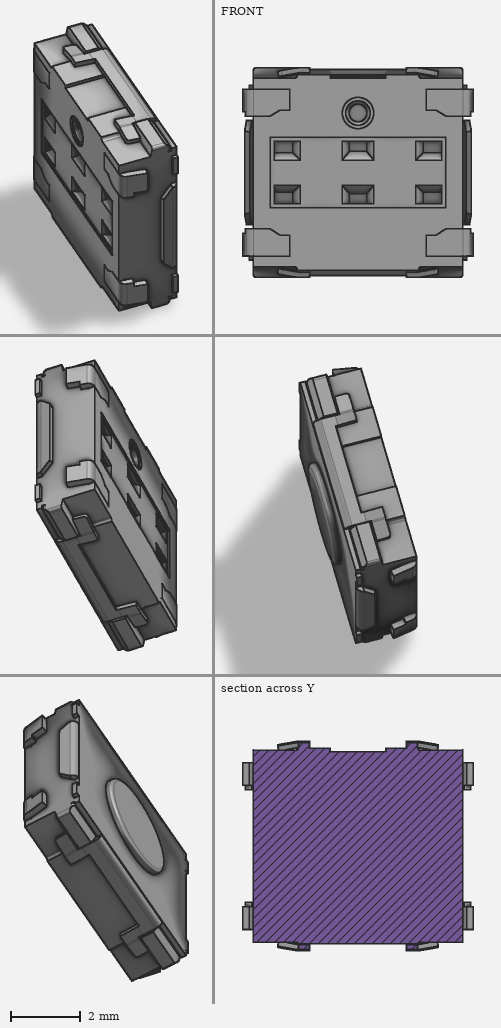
import cadquery as cq
import math


reach_x = 3.3
half_side = 3.0
button_face_y = 2.0
back_y = 1.8

cover_sheet = 0.15
cover_inner_y = back_y - cover_sheet
bend_inner_radius = 0.09
bend_outer_radius = bend_inner_radius + cover_sheet
lean_angle = 10.0
lean_sin = math.sin(math.radians(lean_angle))
lean_cos = math.cos(math.radians(lean_angle))

core_half_z = 2.7
middle_half_x = 1.735
middle_half_z = 2.8
middle_step = middle_half_z - core_half_z
keyway_half_x = 0.8

shoulder_top_y = 1.63
shoulder_root_y = 0.99
shoulder_undercut = 0.06
shoulder_chamfer = 0.18
shoulder_corner_radius = 0.1
shoulder_top_radius = 0.09

wall_half_x = 1.7
wall_outer_z = middle_half_z + cover_sheet
wall_root_z = wall_outer_z - 2 * cover_sheet
wall_edge_y = 1.19
tab_root_y = 1.12
tab_inner_x = 1.385
tab_end_y = 0.555
tab_tilt = 5.0
hook_bend_x = 1.7
hook_bend_radius = 0.285
hook_tip_x = 2.3
hook_top_y = 0.98
hook_corner_radius = 0.1

flap_half_z = 1.49
flap_bend_x = 2.95
flap_end_y = 1.295
ear_outer_x = 3.115
ear_low_z = 1.9
ear_high_z = 2.5

button_radius = 1.5
button_edge_radius = 0.1

panel_half_x = 2.51
panel_half_z = 1.0
panel_depth = 0.05
pocket_floor_y = 0.4
pocket_low_z = 0.355
pocket_high_z = 0.89
side_pocket_inner_x = 1.65
side_pocket_outer_x = 2.395
side_pocket_draft_x = 0.22
side_pocket_draft_z = 0.21
middle_pocket_half_x = 0.455
middle_pocket_draft_x = 0.21
middle_pocket_draft_z = 0.25

gate_z = 1.7
gate_ring_radius = 0.45
gate_ring_depth = 0.05
gate_mouth_radius = 0.35
gate_floor_radius = 0.25
gate_floor_y = 0.21

lead_sheet = 0.2
pad_inner_x = 1.955
pad_outer_z = 2.39
pad_inner_z = 1.605
pad_neck_z = 1.79
pad_slope_start_x = 2.23
pad_slope_end_x = 2.53
lead_narrow_z = 1.735
lead_shoulder_length = 0.21
lead_length = (reach_x - half_side - lead_sheet * lean_cos) / lean_sin


def block(x_range, y_range, z_range):
    """Rectangular block between the given limits."""
    size = [high - low for low, high in (x_range, y_range, z_range)]
    return (
        cq.Workplane("XY")
        .box(*size, centered=False)
        .translate((x_range[0], y_range[0], z_range[0]))
    )


def mirrored(shape, side_x, side_z):
    """Copy of a shape modelled at +X +Z, placed on the given sides."""
    if side_x < 0:
        shape = shape.mirror("YZ")
    if side_z < 0:
        shape = shape.mirror("XY")
    return shape


def extrude_z(sketch_xy, z_from, z_to):
    """Extrude a closed XY sketch between two heights."""
    return sketch_xy.extrude(z_to - z_from).translate((0, 0, z_from))


def arc_point(centre, radius, angle):
    """Point on an arc, its angle in degrees measured from the second axis towards the first."""
    turn = math.radians(angle)
    return (centre[0] + radius * math.sin(turn), centre[1] + radius * math.cos(turn))



def pad_plate():
    """Flat solder pad let into the soldered face."""
    outline = [
        (pad_inner_x, pad_outer_z),
        (half_side, pad_outer_z),
        (half_side, pad_inner_z),
        (pad_slope_end_x, pad_inner_z),
        (pad_slope_start_x, pad_neck_z),
        (pad_inner_x, pad_neck_z),
    ]
    return cq.Workplane("XZ").polyline(outline).close().extrude(-lead_sheet)


def lead_strip(length, z_from, z_to):
    """Bend around the pad's inner edge followed by a straight leaning strip."""
    centre = (half_side, lead_sheet)
    bend_angle = 90 - lean_angle
    bend_middle = arc_point(centre, lead_sheet, 180 - bend_angle / 2)
    bend_end = arc_point(centre, lead_sheet, 180 - bend_angle)
    rise = (length * lean_sin, length * lean_cos)
    sketch = (
        cq.Workplane("XY")
        .moveTo(half_side, 0)
        .threePointArc(bend_middle, bend_end)
        .lineTo(bend_end[0] + rise[0], bend_end[1] + rise[1])
        .lineTo(half_side + rise[0], lead_sheet + rise[1])
        .lineTo(half_side, lead_sheet)
        .close()
    )
    return extrude_z(sketch, z_from, z_to)


def terminal():
    """Pad and bent lead, narrower towards the tip."""
    wide = lead_strip(lead_shoulder_length, pad_inner_z, pad_outer_z)
    narrow = lead_strip(lead_length, lead_narrow_z, pad_outer_z)
    return pad_plate().union(wide).union(narrow)



def moulded_core():
    """Main block with its thicker middle, coved where the middle steps up."""
    core = block((-half_side, half_side), (0, back_y), (-core_half_z, core_half_z))
    middle = block((-middle_half_x, middle_half_x), (0, cover_inner_y), (-middle_half_z, middle_half_z))
    core = core.union(middle)
    cove_far_x = middle_half_x + middle_step
    cove = (
        cq.Workplane("XZ")
        .moveTo(middle_half_x, core_half_z)
        .lineTo(cove_far_x, core_half_z)
        .radiusArc((middle_half_x, middle_half_z), middle_step)
        .close()
        .extrude(-shoulder_root_y)
    )
    for side_x in (-1, 1):
        for side_z in (-1, 1):
            core = core.union(mirrored(cove, side_x, side_z))
    return core


def shoulder():
    """Thick corner at the back, with a chamfered top and a sloped underside."""
    chamfer_y = shoulder_top_y - shoulder_chamfer
    section = [
        (shoulder_root_y, core_half_z),
        (shoulder_root_y + shoulder_undercut, half_side),
        (chamfer_y, half_side),
        (shoulder_top_y, half_side - shoulder_chamfer),
        (shoulder_top_y, core_half_z),
    ]
    length = half_side - middle_half_x
    profile = (
        cq.Workplane("YZ", origin=(middle_half_x, 0, 0))
        .polyline(section)
        .close()
        .extrude(length)
        .edges("|Z and >X and >Y")
        .fillet(shoulder_top_radius)
    )
    rounded = (
        block((middle_half_x, half_side), (shoulder_root_y, shoulder_top_y), (core_half_z, half_side))
        .edges("|Y and >X and >Z")
        .fillet(shoulder_corner_radius)
    )
    return profile.intersect(rounded)


def cover_plate():
    """Rim of the cover plate above the shoulders, with its ears."""
    plate = block((-half_side, half_side), (cover_inner_y, back_y), (-middle_half_z, middle_half_z))
    ear = block((half_side, ear_outer_x), (cover_inner_y, back_y), (ear_low_z, ear_high_z))
    for side_x in (-1, 1):
        for side_z in (-1, 1):
            plate = plate.union(mirrored(ear, side_x, side_z))
    return plate


def cover_wall():
    """Wall bent down from the cover plate over the middle of one side."""
    wall = (
        block((-wall_half_x, wall_half_x), (tab_root_y, back_y), (wall_root_z, wall_outer_z))
        .edges("|X and >Y and >Z")
        .fillet(bend_outer_radius)
    )
    below_wall = block((-tab_inner_x, tab_inner_x), (tab_root_y, wall_edge_y), (middle_half_z, wall_outer_z))
    return wall.cut(below_wall)


def hook_tab():
    """Tab below the cover wall whose arm turns in under the shoulder."""
    centre = (hook_bend_x, wall_outer_z - hook_bend_radius)
    inner_radius = hook_bend_radius - cover_sheet
    outer_end = arc_point(centre, hook_bend_radius, lean_angle)
    inner_end = arc_point(centre, inner_radius, lean_angle)
    run = hook_tip_x - outer_end[0]
    drop = run * lean_sin / lean_cos
    tab = (
        cq.Workplane("XZ", origin=(0, tab_end_y, 0))
        .moveTo(tab_inner_x, wall_outer_z)
        .lineTo(hook_bend_x, wall_outer_z)
        .threePointArc(arc_point(centre, hook_bend_radius, lean_angle / 2), outer_end)
        .lineTo(outer_end[0] + run, outer_end[1] - drop)
        .lineTo(inner_end[0] + run, inner_end[1] - drop)
        .lineTo(*inner_end)
        .threePointArc(arc_point(centre, inner_radius, lean_angle / 2), (hook_bend_x, middle_half_z))
        .lineTo(tab_inner_x, middle_half_z)
        .close()
        .extrude(tab_end_y - tab_root_y)
    )
    above_arm = block((wall_half_x, reach_x), (hook_top_y, back_y), (0, half_side))
    tab = tab.cut(above_arm)
    tab = tab.faces(">X").edges("<Y").fillet(hook_corner_radius)
    pivot = (0, tab_root_y, middle_half_z)
    return tab.rotate(pivot, (1, tab_root_y, middle_half_z), -tab_tilt)


def side_flap():
    """Leaning flap bent down from the cover plate at +X, with 45 degree cut ends."""
    centre = (flap_bend_x, back_y - bend_outer_radius)
    bend_angle = 90 - lean_angle
    outer_end = arc_point(centre, bend_outer_radius, bend_angle)
    inner_end = arc_point(centre, bend_inner_radius, bend_angle)
    drop = outer_end[1] - flap_end_y
    run = drop * lean_sin / lean_cos
    sketch = (
        cq.Workplane("XY")
        .moveTo(flap_bend_x, back_y)
        .threePointArc(arc_point(centre, bend_outer_radius, bend_angle / 2), outer_end)
        .lineTo(outer_end[0] + run, outer_end[1] - drop)
        .lineTo(inner_end[0] + run, inner_end[1] - drop)
        .lineTo(*inner_end)
        .threePointArc(arc_point(centre, bend_inner_radius, bend_angle / 2), (flap_bend_x, cover_inner_y))
        .close()
    )
    flap = extrude_z(sketch, -flap_half_z, flap_half_z)
    taper_y = outer_end[1]
    corner_cut = (
        cq.Workplane("YZ")
        .polyline([(taper_y, flap_half_z), (taper_y - flap_half_z, 0), (taper_y - flap_half_z, flap_half_z)])
        .close()
        .extrude(reach_x)
    )
    return flap.cut(corner_cut).cut(corner_cut.mirror("XY"))


def button():
    """Round button standing on the cover plate."""
    return (
        cq.Workplane("XZ", origin=(0, back_y, 0))
        .circle(button_radius)
        .extrude(back_y - button_face_y)
        .faces(">Y")
        .edges()
        .fillet(button_edge_radius)
    )


def keyway():
    """Channel in the +Z side that runs up into the bend of the cover."""
    return (
        block((-keyway_half_x, keyway_half_x), (0, cover_inner_y), (core_half_z, middle_half_z))
        .edges("|X and >Y and >Z")
        .fillet(bend_inner_radius)
    )


def drafted_pocket(mouth_x, floor_x, floor_low_z):
    """Pocket whose mouth and floor share the high-Z wall; the other walls may slope."""
    def corners(x_range, low_z):
        left, right = x_range
        return [(left, low_z), (right, low_z), (right, pocket_high_z), (left, pocket_high_z)]

    return (
        cq.Workplane("XZ", origin=(0, panel_depth, 0))
        .polyline(corners(mouth_x, pocket_low_z))
        .close()
        .workplane(offset=panel_depth - pocket_floor_y)
        .polyline(corners(floor_x, floor_low_z))
        .close()
        .loft(ruled=True)
    )


def cut_panel(body):
    """Shallow rectangular recess with two rows of three pockets."""
    body = body.cut(block((-panel_half_x, panel_half_x), (0, panel_depth), (-panel_half_z, panel_half_z)))
    side_pocket = drafted_pocket(
        (side_pocket_inner_x, side_pocket_outer_x),
        (side_pocket_inner_x + side_pocket_draft_x, side_pocket_outer_x),
        pocket_low_z + side_pocket_draft_z,
    )
    middle_floor_half_x = middle_pocket_half_x - middle_pocket_draft_x
    middle_pocket = drafted_pocket(
        (-middle_pocket_half_x, middle_pocket_half_x),
        (-middle_floor_half_x, middle_floor_half_x),
        pocket_low_z + middle_pocket_draft_z,
    )
    for side_z in (-1, 1):
        body = body.cut(mirrored(middle_pocket, 1, side_z))
        for side_x in (-1, 1):
            body = body.cut(mirrored(side_pocket, side_x, side_z))
    return body


def gate_recess():
    """Tapered round recess inside a shallow ring."""
    half_section = [
        (0, 0),
        (gate_ring_radius, 0),
        (gate_ring_radius, gate_ring_depth),
        (gate_mouth_radius, gate_ring_depth),
        (gate_floor_radius, gate_floor_y),
        (0, gate_floor_y),
    ]
    return (
        cq.Workplane("XY")
        .polyline(half_section)
        .close()
        .revolve(360, (0, 0, 0), (0, 1, 0))
        .translate((0, 0, gate_z))
    )


def switch_body():
    """Moulding, cover and button as one solid, with recesses for the pads."""
    body = moulded_core().union(cover_plate()).union(button())
    for side_z in (-1, 1):
        body = body.union(mirrored(cover_wall(), 1, side_z))
    for side_x in (-1, 1):
        body = body.union(mirrored(side_flap(), side_x, 1))
        for side_z in (-1, 1):
            body = body.union(mirrored(shoulder(), side_x, side_z))
            body = body.union(mirrored(hook_tab(), side_x, side_z))
            body = body.cut(mirrored(pad_plate(), side_x, side_z))
    body = body.cut(keyway())
    body = cut_panel(body)
    return body.cut(gate_recess())


terminals = [
    mirrored(terminal(), side_x, side_z).val()
    for side_x in (-1, 1)
    for side_z in (-1, 1)
]
result = cq.Compound.makeCompound([switch_body().val(), *terminals])